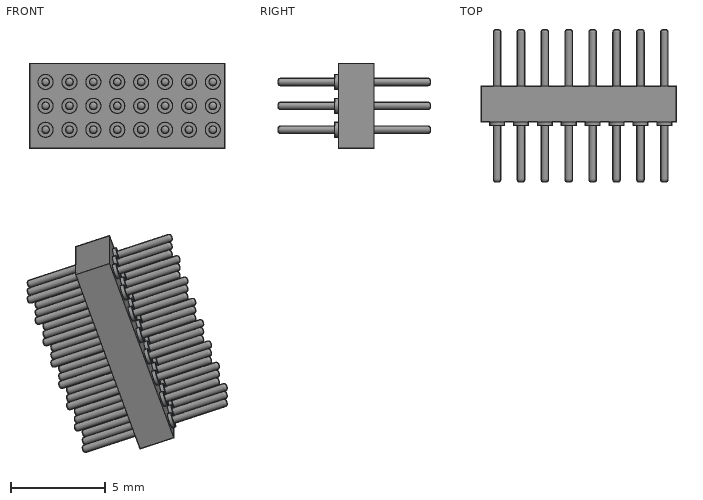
import cadquery as cq

body_length = 10.37
body_depth = 1.9
body_height = 4.52

columns = 8
rows = 3
column_span = 8.88
pitch = column_span / (columns - 1)
first_column_offset = 0.85

pin_diameter = 0.4
front_pin_length = 3.2
back_pin_length = 3.0
tip_radius = 0.15
collar_diameter = 0.8
collar_thickness = 0.2

pin_total_length = front_pin_length + body_depth + back_pin_length
first_column_x = first_column_offset - body_length / 2
first_row_z = -pitch * (rows - 1) / 2


def make_body():
    body = cq.Workplane("XY").box(body_length, body_depth, body_height)
    return body.translate((0, body_depth / 2, 0))


def rod(diameter, length, front_y):
    """Cylinder along Y, running from front_y towards +Y."""
    profile = cq.Workplane("XZ", origin=(0, front_y, 0)).circle(diameter / 2)
    return profile.extrude(-length)


def make_pin():
    """Round-tipped pin through the body, with a collar on the front face."""
    pin = rod(pin_diameter, pin_total_length, -front_pin_length)
    pin = pin.faces("<Y or >Y").edges().fillet(tip_radius)
    collar = rod(collar_diameter, collar_thickness, -collar_thickness)
    return pin.union(collar)


pin = make_pin()
result = make_body()
for column in range(columns):
    for row in range(rows):
        pin_x = first_column_x + column * pitch
        pin_z = first_row_z + row * pitch
        result = result.union(pin.translate((pin_x, 0, pin_z)))